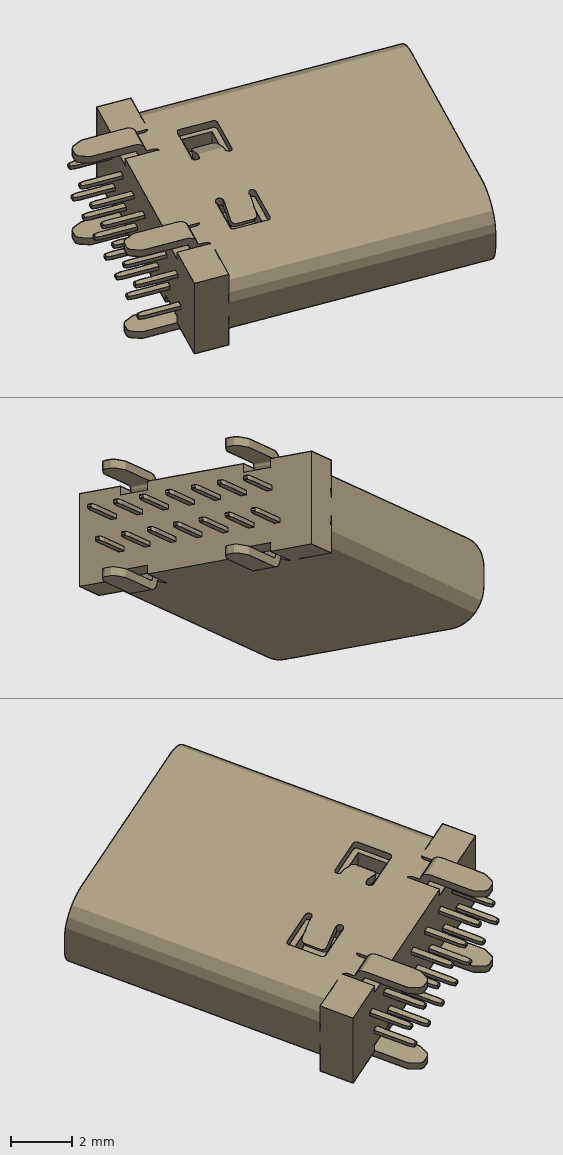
import math
import cadquery as cq


width = 8.94
height = 3.16
length = 10.5
housing_length = 1.2
shell_corner_radius = 1.27
sheet = 0.3

lug_x = 2.37
lug_width = 0.84
lug_tip_y = -1.6
lug_tip_width = lug_width / 2
lug_taper_length = 0.43
lug_offset = 0.4
lug_bend_end_y = 0.36
shell_bend_radius = 0.07
lug_bend_radius = 0.1
lug_corner_radius = 0.2
notch_width = 1.04

pins_per_row = 7
pin_pitch = 1.0
pin_row_shift = 0.15
pin_row_z = 0.575
pin_width = 0.21
pin_thickness = 0.15
pin_length = 1.48
pin_tip_length = 0.22
pin_tip_inset = 0.035
pin_end_chamfer = 0.04

window_inner_x = 0.98
window_outer_x = 2.51
window_y_min = 2.03
window_y_max = 3.42
window_corner_radius = 0.12

pocket_inner_x = 0.95
pocket_ramp_x = 1.88
pocket_outer_x = 2.34
pocket_y_min = 2.16
pocket_y_max = 3.21
pocket_floor_depth = 0.95
pocket_ramp_rise = 0.2

tongue_y_min = 2.29
tongue_y_max = 3.19
tongue_bend_x = 1.1
tongue_end_x = 1.92
tongue_bend_radius = 0.4
tongue_angle = math.radians(29)
tongue_corner_radius = 0.15

half_height = height / 2


def make_body():
    """Rounded shell joined to the square housing block."""
    shell_length = length - housing_length
    shell = (
        cq.Workplane("XY")
        .box(width, shell_length, height)
        .edges("|Y")
        .fillet(shell_corner_radius)
        .translate((0, housing_length + shell_length / 2, 0))
    )
    housing = cq.Workplane("XY").box(width, housing_length, height)
    return shell.union(housing.translate((0, housing_length / 2, 0)))


def make_lug_notch(x):
    """Clearance in the top of the housing around one lug."""
    notch = cq.Workplane("XY").box(notch_width, housing_length, sheet)
    return notch.translate((x, housing_length / 2, half_height - sheet / 2))


def make_lug_strip(root_y, strip_width):
    """S-bent strip of shell metal, stepping outwards from the top of the shell."""
    shell_outer_radius = shell_bend_radius + sheet
    lug_outer_radius = lug_bend_radius + sheet
    radius_sum = shell_bend_radius + lug_outer_radius
    bend_angle = math.acos(1 - lug_offset / radius_sum)
    half_angle = bend_angle / 2
    bend_start_y = lug_bend_end_y + radius_sum * math.sin(bend_angle)
    top_z = half_height + lug_offset

    shell_centre_z = half_height + shell_bend_radius
    lug_centre_z = top_z - lug_outer_radius

    def on_shell_bend(radius, angle):
        return (bend_start_y - radius * math.sin(angle), shell_centre_z - radius * math.cos(angle))

    def on_lug_bend(radius, angle):
        return (lug_bend_end_y + radius * math.sin(angle), lug_centre_z + radius * math.cos(angle))

    upper_join = on_shell_bend(shell_bend_radius, bend_angle)
    lower_join = on_lug_bend(lug_bend_radius, bend_angle)
    return (
        cq.Workplane("YZ")
        .moveTo(root_y, half_height)
        .lineTo(bend_start_y, half_height)
        .threePointArc(on_shell_bend(shell_bend_radius, half_angle), upper_join)
        .threePointArc(on_lug_bend(lug_outer_radius, half_angle), (lug_bend_end_y, top_z))
        .lineTo(lug_tip_y, top_z)
        .lineTo(lug_tip_y, top_z - sheet)
        .lineTo(lug_bend_end_y, top_z - sheet)
        .threePointArc(on_lug_bend(lug_bend_radius, half_angle), lower_join)
        .threePointArc(on_shell_bend(shell_outer_radius, half_angle), (bend_start_y, half_height - sheet))
        .lineTo(root_y, half_height - sheet)
        .close()
        .extrude(strip_width / 2, both=True)
    )


def make_lug(x):
    """Top lug: bent strip trimmed to a tapered blade that widens into the shell."""
    half_lug = lug_width / 2
    half_tip = lug_tip_width / 2
    shoulder_y = lug_tip_y + lug_taper_length
    head_size = width / 2 - shell_corner_radius - lug_x - half_lug
    half_head = half_lug + head_size
    root_y = housing_length + head_size

    outline = (
        cq.Workplane("XY")
        .polyline([
            (half_head, root_y),
            (half_head, housing_length),
            (half_lug, housing_length),
            (half_lug, shoulder_y),
            (half_tip, lug_tip_y),
            (-half_tip, lug_tip_y),
            (-half_lug, shoulder_y),
            (-half_lug, housing_length),
            (-half_head, housing_length),
            (-half_head, root_y),
        ])
        .close()
        .extrude(height)
        .edges("|Z")
        .fillet(lug_corner_radius)
    )
    strip = make_lug_strip(root_y, 2 * half_head)
    return strip.intersect(outline).translate((x, 0, 0))


def make_pin(x, z):
    """Rectangular pin with a tapered, chamfered tip, starting on the housing face."""
    half_pin = pin_width / 2
    half_end = half_pin - pin_tip_inset
    taper_start_y = pin_tip_length - pin_length
    return (
        cq.Workplane("XY")
        .polyline([
            (-half_pin, 0),
            (-half_pin, taper_start_y),
            (-half_end, -pin_length),
            (half_end, -pin_length),
            (half_pin, taper_start_y),
            (half_pin, 0),
        ])
        .close()
        .extrude(pin_thickness / 2, both=True)
        .faces("<Y")
        .edges("|X")
        .chamfer(pin_end_chamfer)
        .translate((x, 0, z))
    )


def make_slot(y_min, y_max):
    """Round-ended slot beside the tongue, from the window's inner end to the tongue's tip."""
    slot_length = tongue_end_x - window_inner_x
    return (
        cq.Workplane("XY")
        .slot2D(slot_length, y_max - y_min)
        .extrude(-sheet)
        .translate((window_inner_x + slot_length / 2, (y_min + y_max) / 2, half_height))
    )


def make_window():
    """Opening through the shell metal on the +X side, with a slot along each edge of the tongue."""
    opening_length = window_outer_x - tongue_bend_x
    opening_width = window_y_max - window_y_min
    centre_x = tongue_bend_x + opening_length / 2
    centre_y = window_y_min + opening_width / 2
    opening = (
        cq.Workplane("XY")
        .box(opening_length, opening_width, sheet)
        .edges("|Z and >X")
        .fillet(window_corner_radius)
        .translate((centre_x, centre_y, half_height - sheet / 2))
    )
    slots = make_slot(window_y_min, tongue_y_min).union(make_slot(tongue_y_max, window_y_max))
    return opening.union(slots)


def extrude_along_y(profile, y_min, y_max):
    """Extrude a closed XZ profile from y_min to y_max."""
    return profile.extrude(-(y_max - y_min)).translate((0, y_min, 0))


def make_pocket():
    """Pocket below the window, with a floor that ramps up towards the middle."""
    floor_z = half_height - pocket_floor_depth
    ledge_z = half_height - sheet
    profile = (
        cq.Workplane("XZ")
        .moveTo(pocket_inner_x, ledge_z)
        .lineTo(pocket_outer_x, ledge_z)
        .lineTo(pocket_outer_x, floor_z)
        .lineTo(pocket_ramp_x, floor_z)
        .lineTo(pocket_inner_x, floor_z + pocket_ramp_rise)
        .close()
    )
    return extrude_along_y(profile, pocket_y_min, pocket_y_max)


def make_tongue():
    """Spring tongue bent down from the inner side of the window."""
    inner_radius = tongue_bend_radius - sheet
    centre_z = half_height - tongue_bend_radius

    def on_bend(radius, angle):
        return (tongue_bend_x + radius * math.sin(angle), centre_z + radius * math.cos(angle))

    upper_bend_end = on_bend(tongue_bend_radius, tongue_angle)
    lower_bend_end = on_bend(inner_radius, tongue_angle)
    straight_x = tongue_end_x - upper_bend_end[0]
    straight_drop = straight_x * math.tan(tongue_angle)
    profile = (
        cq.Workplane("XZ")
        .moveTo(window_inner_x, half_height)
        .lineTo(tongue_bend_x, half_height)
        .threePointArc(on_bend(tongue_bend_radius, tongue_angle / 2), upper_bend_end)
        .lineTo(tongue_end_x, upper_bend_end[1] - straight_drop)
        .lineTo(lower_bend_end[0] + straight_x, lower_bend_end[1] - straight_drop)
        .lineTo(*lower_bend_end)
        .threePointArc(on_bend(inner_radius, tongue_angle / 2), (tongue_bend_x, half_height - sheet))
        .lineTo(window_inner_x, half_height - sheet)
        .close()
    )
    tongue = extrude_along_y(profile, tongue_y_min, tongue_y_max)
    end_corners = tongue.faces(">X").edges("not |Y")
    return end_corners.fillet(tongue_corner_radius)


def on_both_sides(feature):
    """The feature together with its mirror image across X = 0."""
    return feature.union(feature.mirror("YZ"))


def on_top_and_bottom(feature):
    """The feature together with its mirror image across Z = 0."""
    return feature.union(feature.mirror("XY"))


result = make_body()
result = result.cut(on_top_and_bottom(on_both_sides(make_lug_notch(lug_x))))
result = result.union(on_top_and_bottom(on_both_sides(make_lug(lug_x))))

result = result.cut(on_both_sides(make_window()))
result = result.cut(on_both_sides(make_pocket()))
result = result.union(on_both_sides(make_tongue()))

for index in range(pins_per_row):
    pin_x = (index - (pins_per_row - 1) / 2) * pin_pitch
    result = result.union(make_pin(pin_x - pin_row_shift, pin_row_z))
    result = result.union(make_pin(pin_x + pin_row_shift, -pin_row_z))